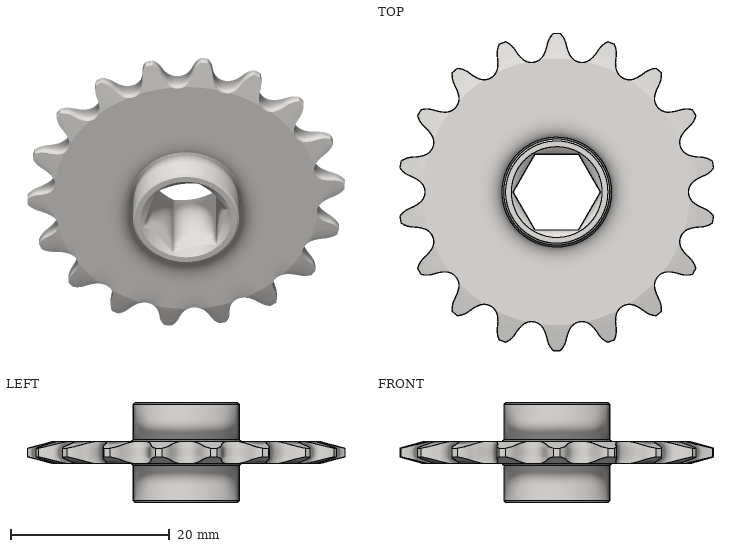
import cadquery as cq
import math

TOOTH_COUNT = 18
CHAIN_PITCH = 6.35
ROLLER_DIAMETER = 3.3
SEATING_CLEARANCE = 0.08
OUTER_DIAMETER = 39.95

PLATE_THICKNESS = 2.8
BEVEL_START_RADIUS = 16.77
BEVEL_ANGLE = 15.0

HUB_DIAMETER = 13.35
HUB_LENGTH = 12.6
HUB_CHAMFER = 0.25
HUB_BASE_FLARE = 0.25

BORE_ACROSS_FLATS = 9.5
COUNTERSINK_RADIUS = 5.7
COUNTERSINK_ANGLE = 45.0

HALF_PITCH_ANGLE = 180 / TOOTH_COUNT
PITCH_RADIUS = CHAIN_PITCH / 2 / math.sin(math.radians(HALF_PITCH_ANGLE))
OUTER_RADIUS = OUTER_DIAMETER / 2
HUB_RADIUS = HUB_DIAMETER / 2
HALF_PLATE = PLATE_THICKNESS / 2
HALF_HUB = HUB_LENGTH / 2

SEATING_RADIUS = (ROLLER_DIAMETER + SEATING_CLEARANCE) / 2
SEATING_ANGLE = 35 + 60 / TOOTH_COUNT
WORKING_ANGLE = 18 - 56 / TOOTH_COUNT
TOPPING_ANGLE = 17 - 64 / TOOTH_COUNT
WORKING_OFFSET = 0.8 * ROLLER_DIAMETER
TOPPING_OFFSET = 1.4 * ROLLER_DIAMETER
WORKING_RADIUS = WORKING_OFFSET + SEATING_RADIUS
GAP_OVERRUN = 1.05


def polar(length, angle):
    """Vector of the given length at an angle in degrees from +X."""
    return cq.Vector(length * math.cos(math.radians(angle)), length * math.sin(math.radians(angle)))


def xy(point):
    """In-plane coordinates of a vector."""
    return point.x, point.y


def mirrored(point):
    """In-plane coordinates of a vector reflected across the Y axis."""
    return -point.x, point.y


def gap_outline():
    """Closed outline of one tooth gap, symmetric about +Y, reaching past the outer circle."""
    seat_center = cq.Vector(0, PITCH_RADIUS)
    straight_angle = SEATING_ANGLE - WORKING_ANGLE

    seat_bottom = seat_center - cq.Vector(0, SEATING_RADIUS)
    seat_end = seat_center - polar(SEATING_RADIUS, SEATING_ANGLE)
    working_center = seat_center + polar(WORKING_OFFSET, SEATING_ANGLE)
    working_mid = working_center - polar(WORKING_RADIUS, SEATING_ANGLE - WORKING_ANGLE / 2)
    working_end = working_center - polar(WORKING_RADIUS, straight_angle)

    straight_length = (
        TOPPING_OFFSET * math.sin(math.radians(TOPPING_ANGLE))
        - WORKING_OFFSET * math.sin(math.radians(WORKING_ANGLE))
    )
    straight_end = working_end + polar(straight_length, straight_angle + 90)

    topping_center = seat_center - polar(TOPPING_OFFSET, HALF_PITCH_ANGLE)
    topping_radius = (straight_end - topping_center).Length
    center_distance = topping_center.Length
    tip_swing = math.acos(
        (center_distance**2 + OUTER_RADIUS**2 - topping_radius**2) / (2 * center_distance * OUTER_RADIUS)
    )
    center_angle = math.atan2(topping_center.y, topping_center.x)
    tip = polar(OUTER_RADIUS, math.degrees(center_angle - tip_swing))
    chord_mid = (straight_end + tip) / 2
    topping_mid = topping_center + (chord_mid - topping_center).normalized() * topping_radius
    beyond = tip * GAP_OVERRUN

    return (
        cq.Workplane("XY", origin=(0, 0, -HALF_PLATE))
        .moveTo(*xy(beyond))
        .lineTo(*xy(tip))
        .threePointArc(xy(topping_mid), xy(straight_end))
        .lineTo(*xy(working_end))
        .threePointArc(xy(working_mid), xy(seat_end))
        .threePointArc(xy(seat_bottom), mirrored(seat_end))
        .threePointArc(mirrored(working_mid), mirrored(working_end))
        .lineTo(*mirrored(straight_end))
        .threePointArc(mirrored(topping_mid), mirrored(tip))
        .lineTo(*mirrored(beyond))
        .close()
    )


def toothed_plate():
    """Plate bevelled on both faces toward the rim, with the tooth gaps cut through it."""
    bevel_drop = (OUTER_RADIUS - BEVEL_START_RADIUS) * math.tan(math.radians(BEVEL_ANGLE))
    half_tip = HALF_PLATE - bevel_drop
    plate = (
        cq.Workplane("XZ")
        .moveTo(0, -HALF_PLATE)
        .lineTo(BEVEL_START_RADIUS, -HALF_PLATE)
        .lineTo(OUTER_RADIUS, -half_tip)
        .lineTo(OUTER_RADIUS, half_tip)
        .lineTo(BEVEL_START_RADIUS, HALF_PLATE)
        .lineTo(0, HALF_PLATE)
        .close()
        .revolve(360, (0, 0), (0, 1))
    )
    gap = gap_outline().extrude(PLATE_THICKNESS)
    for index in range(TOOTH_COUNT):
        gap_angle = (index + 0.5) * 360 / TOOTH_COUNT
        plate = plate.cut(gap.rotate((0, 0, 0), (0, 0, 1), gap_angle))
    return plate


def hub():
    """Cylinder through the plate with chamfered ends and a flare where it meets each plate face."""
    flare_radius = HUB_RADIUS + HUB_BASE_FLARE
    flare_top = HALF_PLATE + HUB_BASE_FLARE
    flare = (
        cq.Workplane("XZ")
        .moveTo(0, -flare_top)
        .lineTo(HUB_RADIUS, -flare_top)
        .lineTo(flare_radius, -HALF_PLATE)
        .lineTo(flare_radius, HALF_PLATE)
        .lineTo(HUB_RADIUS, flare_top)
        .lineTo(0, flare_top)
        .close()
        .revolve(360, (0, 0), (0, 1))
    )
    barrel = (
        cq.Workplane("XY")
        .cylinder(HUB_LENGTH, HUB_RADIUS)
        .edges("%CIRCLE")
        .chamfer(HUB_CHAMFER)
    )
    return barrel.union(flare)


def hex_bore():
    """Through hexagon with corners on the X axis and a conical countersink at each end."""
    across_corners = BORE_ACROSS_FLATS / math.cos(math.radians(30))
    bore = cq.Workplane("XY", origin=(0, 0, -HALF_HUB)).polygon(6, across_corners).extrude(HUB_LENGTH)
    cone_height = COUNTERSINK_RADIUS / math.tan(math.radians(COUNTERSINK_ANGLE))
    for side in (-1, 1):
        cone = cq.Solid.makeCone(
            COUNTERSINK_RADIUS, 0, cone_height,
            pnt=cq.Vector(0, 0, side * HALF_HUB),
            dir=cq.Vector(0, 0, -side),
        )
        bore = bore.union(cq.Workplane(cone))
    return bore


result = toothed_plate().union(hub()).cut(hex_bore())